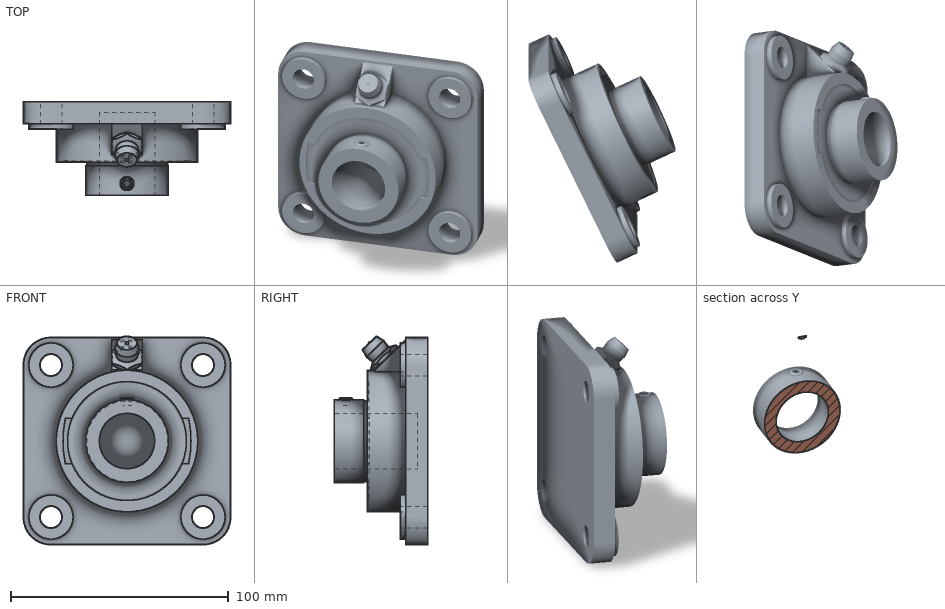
import cadquery as cq
import math


flange_size = 95.2
flange_front = 10.2
corner_radius = 12.7

bolt_offset = flange_size / 2 - corner_radius
bolt_hole_dia = 10.0
pad_dia = 20.3
pad_height = 2.5
pad_front = flange_front + pad_height

boss_dia = 65.0
boss_front = 27.8

ring_dia = 54.6
ring_recess = 0.7
neck_dia = 37.2
neck_front = 29.5
collar_dia = 38.1
collar_front = 43.1
bore_dia = 25.4
bore_depth = 38.1

notch_reach = 29.4
notch_end_radius = 50.0
notch_height = 20.7
notch_depth = 0.8

screw_front = 37.65
screw_dia = 6.3
screw_projection = 0.8
screw_chamfer = 0.6
socket_flats = 3.2
socket_depth = 3.5
screw_embed = 3.0

seat_width = 14.0
seat_top = 46.4
seat_end_front = 24.4
seat_slope = 44.0
seat_foot = 25.0

fitting_front = 19.5
hex_flats = seat_width
hex_cone_slope = 30.0
fitting_base_radius = 5.05
fitting_base_height = 3.2
fitting_ridge_radius = 5.45
fitting_ridge_height = 6.9
fitting_tip_radius = 4.5
fitting_tip_height = 10.56
ball_cap_radius = 0.85
ball_projection = 0.35
fitting_embed = 1.0


def disc(diameter, back, front, x=0, z=0):
    """Cylinder along Y between two distances from the mounting face."""
    return (
        cq.Workplane("XZ", origin=(x, -back, z))
        .circle(diameter / 2)
        .extrude(front - back)
    )


def seat_height(front):
    """Z of the sloped seat at a distance from the mounting face."""
    return seat_top - (front - flange_front) * math.tan(math.radians(seat_slope))


def hexagon_corner_radius(flats):
    """Centre-to-corner distance of a regular hexagon with a given size across flats."""
    return flats / math.sqrt(3)


def make_flange():
    flange = (
        cq.Workplane("XZ")
        .rect(flange_size, flange_size)
        .extrude(flange_front)
        .edges("|Y")
        .fillet(corner_radius)
    )
    for x in (-bolt_offset, bolt_offset):
        for z in (-bolt_offset, bolt_offset):
            flange = flange.union(disc(pad_dia, flange_front, pad_front, x, z))
            flange = flange.cut(disc(bolt_hole_dia, 0, pad_front, x, z))
    return flange


def make_notches():
    """Slot across the boss face with both ends rounded; the ring sits in its middle."""
    half_height = notch_height / 2
    end_rise = notch_end_radius - math.sqrt(notch_end_radius**2 - half_height**2)
    corner_x = notch_reach - end_rise
    return (
        cq.Workplane("XZ", origin=(0, notch_depth - boss_front, 0))
        .moveTo(-corner_x, -half_height)
        .lineTo(corner_x, -half_height)
        .threePointArc((notch_reach, 0), (corner_x, half_height))
        .lineTo(-corner_x, half_height)
        .threePointArc((-notch_reach, 0), (-corner_x, -half_height))
        .close()
        .extrude(notch_depth)
    )


def make_insert():
    ring_front = boss_front - ring_recess
    ring = disc(ring_dia, flange_front, ring_front)
    neck = disc(neck_dia, ring_front, neck_front)
    collar = disc(collar_dia, neck_front, collar_front)
    return ring.union(neck).union(collar)


def set_screw_top():
    """Workplane on the outer end of the set screw."""
    return cq.Workplane("XY", origin=(0, -screw_front, collar_dia / 2 + screw_projection))


def make_set_screw():
    return (
        set_screw_top()
        .circle(screw_dia / 2)
        .extrude(-(screw_projection + screw_embed))
        .faces(">Z")
        .chamfer(screw_chamfer)
    )


def make_set_screw_socket():
    corner_dia = 2 * hexagon_corner_radius(socket_flats)
    return set_screw_top().polygon(6, corner_dia).extrude(-socket_depth)


def make_seat():
    profile = [
        (-flange_front, seat_top),
        (-seat_end_front, seat_height(seat_end_front)),
        (-seat_end_front, seat_foot),
        (-flange_front, seat_foot),
    ]
    return (
        cq.Workplane("YZ")
        .polyline(profile)
        .close()
        .extrude(seat_width / 2, both=True)
    )


def make_hex():
    """Fitting hexagon, upright on Z = 0, with its corners turned off by a cone below and above."""
    cone_rise = math.tan(math.radians(hex_cone_slope))
    flat_radius = hex_flats / 2
    corner_reach = hexagon_corner_radius(hex_flats)
    turned_profile = [
        (0, -fitting_embed),
        (flat_radius, -fitting_embed),
        (flat_radius, 0),
        (corner_reach, (corner_reach - flat_radius) * cone_rise),
        (corner_reach, fitting_base_height - (corner_reach - fitting_base_radius) * cone_rise),
        (fitting_base_radius, fitting_base_height),
        (0, fitting_base_height),
    ]
    turned = cq.Workplane("XZ").polyline(turned_profile).close().revolve(360, (0, 0), (0, 1))
    prism = (
        cq.Workplane("XY", origin=(0, 0, -fitting_embed))
        .polygon(6, hex_flats, circumscribed=True)
        .extrude(fitting_embed + fitting_base_height)
    )
    return prism.intersect(turned)


def make_fitting():
    """Hexagon and tapered head, with a check ball showing as a small cap on the tip."""
    head_profile = [
        (0, 0),
        (fitting_base_radius, 0),
        (fitting_base_radius, fitting_base_height),
        (fitting_ridge_radius, fitting_ridge_height),
        (fitting_tip_radius, fitting_tip_height),
        (0, fitting_tip_height),
    ]
    head = cq.Workplane("XZ").polyline(head_profile).close().revolve(360, (0, 0), (0, 1))
    ball_radius = (ball_cap_radius**2 + ball_projection**2) / (2 * ball_projection)
    ball_center = fitting_tip_height + ball_projection - ball_radius
    ball = cq.Workplane("XY", origin=(0, 0, ball_center)).sphere(ball_radius)
    return (
        make_hex()
        .union(head)
        .union(ball)
        .rotate((0, 0, 0), (1, 0, 0), seat_slope)
        .translate((0, -fitting_front, seat_height(fitting_front)))
    )


def make_housing():
    boss = disc(boss_dia, 0, boss_front)
    ring_seat = disc(ring_dia, boss_front - ring_recess, boss_front)
    return make_flange().union(boss).cut(ring_seat).cut(make_notches())


result = (
    make_housing()
    .union(make_seat())
    .union(make_fitting())
    .union(make_insert())
    .cut(disc(bore_dia, collar_front - bore_depth, collar_front))
    .union(make_set_screw())
    .cut(make_set_screw_socket())
)